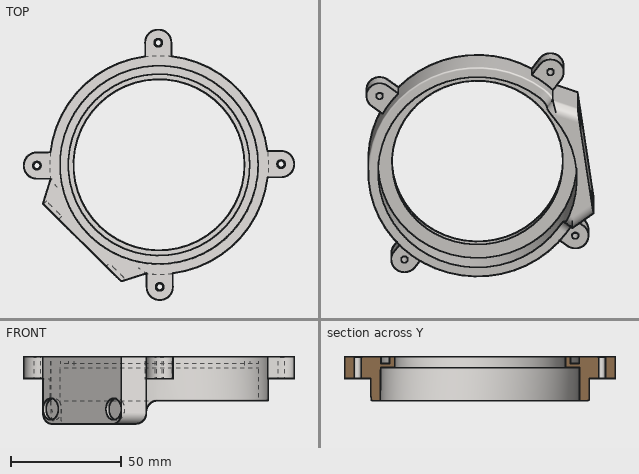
import cadquery as cq
import math

ring_height = 20.0
block_height = 30.5
lug_height = 10.0
mount_twist = 0.35

ring_radius = 49.5
bore_radius = 77.3 / 2
cavity_radius = 90.0 / 2
flange_thickness = 5.0
ring_edge_fillet = 0.75

groove_outer_radius = 89.74 / 2
groove_inner_radius = 82.14 / 2
groove_depth = 3.0
groove_edge_fillet = 0.5

lug_count = 4
lug_distance = 55.25
lug_radius = 6.0
screw_hole_radius = 1.5
screw_sink_depth = 0.35

block_angle = 225.0
flat_distance = 49.5
flat_half_width = 25.0
wall_offset = lug_radius
wall_reach = math.sqrt(ring_radius**2 - wall_offset**2)
block_fillet = 5.0

recess_radius = 9.75 / 2
recess_depth = 2.0
recess_offset = 20.0
recess_z = -23.75


def turned(shape, angle):
    """Turn a shape about the part axis."""
    return shape.rotate((0, 0, 0), (0, 0, 1), angle)


def cylinder(radius, height, top=0.0):
    """Cylinder on the part axis, hanging down from the height `top`."""
    return cq.Workplane("XY").workplane(offset=top).circle(radius).extrude(-height)


def make_block():
    """Block that stands out of the ring and reaches below it."""
    cos_block = math.cos(math.radians(block_angle))
    sin_block = math.sin(math.radians(block_angle))

    def flat_corner(side):
        along = side * flat_half_width
        return (
            flat_distance * cos_block - along * sin_block,
            flat_distance * sin_block + along * cos_block,
        )

    outline = [
        (-wall_offset, -wall_offset),
        (-wall_reach, -wall_offset),
        flat_corner(-1),
        flat_corner(1),
        (-wall_offset, -wall_reach),
    ]
    return cq.Workplane("XY").polyline(outline).close().extrude(-block_height)


def round_block(block):
    """Round the lower edges of the sloped faces and of the walls in line with the lugs."""
    angle = math.radians(block_angle)
    flat_foot = cq.selectors.NearestToPointSelector(
        (flat_distance * math.cos(angle), flat_distance * math.sin(angle), -block_height)
    )
    bottom_edges = block.faces("<Z").edges()
    flat_edge = block.edges(flat_foot)
    side_edges = [edge for edge in bottom_edges.vals() if not edge.isSame(flat_edge.val())]
    return block.newObject(side_edges).fillet(block_fillet)


def make_ring():
    """Solid ring blank with a lower sector that carries the fillets running down to the block walls."""
    sector_height = block_height - block_fillet
    quarter = (
        cq.Workplane("XY")
        .rect(ring_radius, ring_radius, centered=False)
        .extrude(-sector_height)
        .translate((-wall_offset - ring_radius, -wall_offset - ring_radius, 0))
    )
    sector = cylinder(ring_radius, sector_height).intersect(quarter)
    blank = cylinder(ring_radius, ring_height).union(sector)

    wall_middle = (wall_offset + wall_reach) / 2
    right_foot = cq.selectors.NearestToPointSelector((-wall_offset, -wall_middle, -ring_height))
    left_foot = cq.selectors.NearestToPointSelector((-wall_middle, -wall_offset, -ring_height))
    blank = blank.edges(cq.selectors.SumSelector(right_foot, left_foot)).fillet(block_fillet)

    diagonal = ring_radius * math.sqrt(0.5)
    lower_edge = cq.selectors.NearestToPointSelector((diagonal, diagonal, -ring_height))
    return blank.edges(lower_edge).fillet(ring_edge_fillet)


def make_lug():
    """Round-ended lug on +X, starting inside the ring wall."""
    ring_middle = (cavity_radius + ring_radius) / 2
    arm_length = lug_distance - ring_middle
    arm = (
        cq.Workplane("XY")
        .center(ring_middle + arm_length / 2, 0)
        .rect(arm_length, 2 * lug_radius)
        .extrude(-lug_height)
    )
    end = cq.Workplane("XY").center(lug_distance, 0).circle(lug_radius).extrude(-lug_height)
    return arm.union(end)


def make_screw_hole():
    """Through hole of the +X lug with a countersunk mouth."""
    hole = (
        cq.Workplane("XY").center(lug_distance, 0).circle(screw_hole_radius).extrude(-lug_height)
    )
    sink = cq.Solid.makeCone(
        screw_hole_radius + screw_sink_depth,
        screw_hole_radius,
        screw_sink_depth,
        cq.Vector(lug_distance, 0, 0),
        cq.Vector(0, 0, -1),
    )
    return hole.union(cq.Workplane(sink))


def make_groove():
    """Ring-shaped seal groove with rounded mouth edges."""
    rounding = groove_edge_fillet
    arc_rise = rounding * (1 - math.sqrt(0.5))
    section = (
        cq.Workplane("XZ")
        .moveTo(groove_inner_radius - rounding, 0)
        .threePointArc(
            (groove_inner_radius - arc_rise, -arc_rise),
            (groove_inner_radius, -rounding),
        )
        .lineTo(groove_inner_radius, -groove_depth)
        .lineTo(groove_outer_radius, -groove_depth)
        .lineTo(groove_outer_radius, -rounding)
        .threePointArc(
            (groove_outer_radius + arc_rise, -arc_rise),
            (groove_outer_radius + rounding, 0),
        )
        .close()
    )
    return section.revolve(360, (0, 0, 0), (0, 1, 0))


def make_recess(side):
    """Blind round recess in the block's flat face."""
    floor_distance = flat_distance - recess_depth
    recess = (
        cq.Workplane("YZ")
        .workplane(offset=floor_distance)
        .center(side * recess_offset, recess_z)
        .circle(recess_radius)
        .extrude(recess_depth)
    )
    return turned(recess, block_angle)


body = make_ring().union(round_block(make_block()))
lug_angles = [index * 360 / lug_count for index in range(lug_count)]
for angle in lug_angles:
    body = body.union(turned(make_lug(), angle))
for angle in lug_angles:
    body = body.cut(turned(make_screw_hole(), angle))

body = body.cut(cylinder(bore_radius, block_height))
body = body.cut(cylinder(cavity_radius, block_height, -flange_thickness))
body = body.cut(make_groove())
for side in (-1, 1):
    body = body.cut(make_recess(side))

result = turned(body, mount_twist)